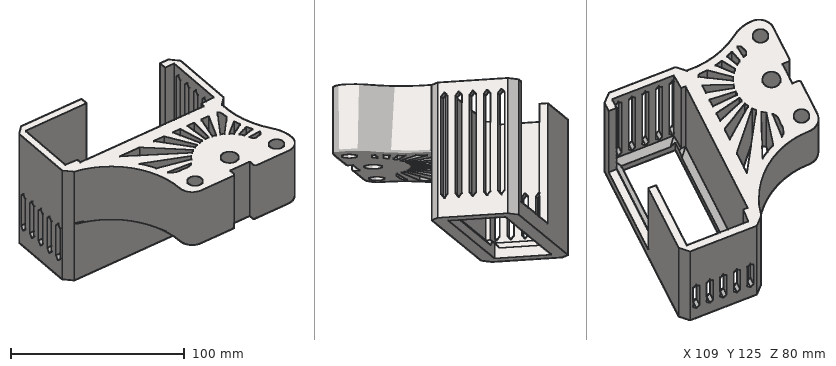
import cadquery as cq
import math

BOX_X = 52.0
BOX_Y = 115.0
BOX_Z = 80.0
CORNER_CHAMFER = 5.0
WALL_X = 5.0
WALL_Y = 4.6

FLOOR_Z = 10.0
FLOOR_BEVEL = 4.0
FLOOR_BEVEL_ANGLE = 45
CAVITY_END_X = 43.8
CAVITY_STEP_X = 44.2
RECESS_X = 47.0
RECESS_Y = 88.0
RECESS_CENTER_Y = 57.0

WINDOW_Y0 = 48.1
WINDOW_Y1 = 104.0
SILL_Z = 8.9

SLOT_COUNT = 5
SLOT_PITCH = 8.5
SLOT_WIDTH = 4.0
SLOT_TIP = 2.5
SLOT_FIRST_X = 9.0
SLOT_Z0 = 11.4
FRONT_SLOT_HEIGHT = 27.0
BACK_SLOT_HEIGHT = 62.5

BRACKET_HEIGHT = 40.0
BRACKET_Z = BOX_Z - BRACKET_HEIGHT
BRACKET_END_X = 109.0
BRACKET_MIN_Y = 45.0
BRACKET_MAX_Y = 125.0
BRACKET_MID_Y = (BRACKET_MIN_Y + BRACKET_MAX_Y) / 2
BRACKET_CORNER_R = 9.0
BOTTOM_FILLET = 2.0
ROOT_MIN_Y = CORNER_CHAMFER
DIP_X = 55.0
DIP_Y = 110.2
LOBE_R = 22.5
CORNER_X = BRACKET_END_X - BRACKET_CORNER_R

NOTCH_DEPTH = 5.0
NOTCH_WIDTH = 14.0
NOTCH_MOUTH_R = 1.5
CENTER_HOLE_D = 10.5
CENTER_HOLE_X = 94.0
SIDE_HOLE_D = 9.0
SIDE_HOLE_X = 100.0
SIDE_HOLE_SPACING = 58.0

FAN_X = 87.0
FAN_PITCH = 18.0
FAN_WEDGE_ANGLE = 9.0
FAN_SIDE_WEDGES = 5
FAN_REACH = 75.0
FAN_START_X = BOX_X + 4.0
FAN_EDGE_MARGIN = 5.0
HUB_R = 22.0
SIDE_BOSS_R = 13.0
FAN_HIGH_CORNER_R = 2.5
FAN_LOW_CORNER_R = 7.5


def vertical_prism(outline, z_bottom, z_top):
    """Extrude a closed XY outline between two heights."""
    return outline.extrude(z_top - z_bottom).translate((0, 0, z_bottom))


def block(x0, x1, y0, y1, z0, z1):
    return cq.Workplane("XY").box(x1 - x0, y1 - y0, z1 - z0, centered=False).translate((x0, y0, z0))


def disc(x, y, radius):
    """Cylinder through the height of the bracket."""
    return vertical_prism(cq.Workplane("XY").center(x, y).circle(radius), BRACKET_Z, BOX_Z)


low_run = CORNER_X - BOX_X
low_rise = BRACKET_MIN_Y - ROOT_MIN_Y
LOW_R = (low_run**2 + low_rise**2) / (2 * low_rise)
LOW_CENTER_Y = BRACKET_MIN_Y - LOW_R
high_run = CORNER_X - DIP_X
high_rise = BRACKET_MAX_Y - DIP_Y
HIGH_R = (high_run**2 + high_rise**2) / (2 * high_rise) - LOBE_R
HIGH_CENTER_Y = DIP_Y + HIGH_R
HIGH_ANGLE = math.asin(high_run / (HIGH_R + LOBE_R))


def arc_point(center_x, center_y, radius, angle):
    """Point on a circle, angle in radians from +X."""
    return (center_x + radius * math.cos(angle), center_y + radius * math.sin(angle))


def bracket_outline(start_x, margin):
    """Bracket outline from start_x, moved inward by margin along its curved sides."""
    low_r = LOW_R + margin
    high_r = HIGH_R + margin
    lobe_r = LOBE_R - margin
    corner_r = BRACKET_CORNER_R - margin
    end_x = BRACKET_END_X - margin
    min_y = BRACKET_MIN_Y + margin
    max_y = BRACKET_MAX_Y - margin
    low_start = math.acos((start_x - CORNER_X) / low_r)
    high_start = math.asin((start_x - DIP_X) / high_r)
    down = -math.pi / 2
    up = math.pi / 2
    low_corner_y = BRACKET_MIN_Y + BRACKET_CORNER_R
    high_corner_y = BRACKET_MAX_Y - BRACKET_CORNER_R
    return (
        cq.Workplane("XY")
        .moveTo(*arc_point(CORNER_X, LOW_CENTER_Y, low_r, low_start))
        .threePointArc(arc_point(CORNER_X, LOW_CENTER_Y, low_r, (low_start + up) / 2), (CORNER_X, min_y))
        .threePointArc(arc_point(CORNER_X, low_corner_y, corner_r, down / 2), (end_x, low_corner_y))
        .lineTo(end_x, high_corner_y)
        .threePointArc(arc_point(CORNER_X, high_corner_y, corner_r, up / 2), (CORNER_X, max_y))
        .threePointArc(
            arc_point(CORNER_X, BRACKET_MAX_Y - LOBE_R, lobe_r, up + HIGH_ANGLE / 2),
            arc_point(CORNER_X, BRACKET_MAX_Y - LOBE_R, lobe_r, up + HIGH_ANGLE),
        )
        .threePointArc(
            arc_point(DIP_X, HIGH_CENTER_Y, high_r, down + (HIGH_ANGLE + high_start) / 2),
            arc_point(DIP_X, HIGH_CENTER_Y, high_r, down + high_start),
        )
        .close()
    )


def make_box():
    return block(0, BOX_X, 0, BOX_Y, 0, BOX_Z).edges("|Z").chamfer(CORNER_CHAMFER)


def make_cavity():
    recess_y0 = RECESS_CENTER_Y - RECESS_Y / 2
    recess_y1 = RECESS_CENTER_Y + RECESS_Y / 2
    end_y = BOX_Y - WALL_Y
    points = [
        (WALL_X, WALL_Y),
        (CAVITY_END_X, WALL_Y),
        (CAVITY_STEP_X, recess_y0),
        (RECESS_X, recess_y0),
        (RECESS_X, recess_y1),
        (CAVITY_STEP_X, recess_y1),
        (CAVITY_END_X, end_y),
        (WALL_X, end_y),
    ]
    room = cq.Workplane("XY", origin=(0, 0, FLOOR_Z)).polyline(points).close().extrude(BOX_Z - FLOOR_Z)
    bevel = cq.Workplane("XY", origin=(0, 0, FLOOR_Z)).polyline(points).close()
    bevel = bevel.extrude(-FLOOR_BEVEL, taper=FLOOR_BEVEL_ANGLE)
    opening = block(
        WALL_X + FLOOR_BEVEL,
        RECESS_X - FLOOR_BEVEL,
        WALL_Y + FLOOR_BEVEL,
        end_y - FLOOR_BEVEL,
        0,
        FLOOR_Z,
    )
    return room.union(bevel).union(opening)


def make_window():
    return block(0, WALL_X, WINDOW_Y0, WINDOW_Y1, SILL_Z, BOX_Z)


def make_slots(wall_y, height):
    """Row of slots through an end wall that starts at wall_y."""
    half = SLOT_WIDTH / 2
    slots = cq.Workplane("XY")
    for i in range(SLOT_COUNT):
        x = SLOT_FIRST_X + i * SLOT_PITCH
        top = SLOT_Z0 + height
        points = [
            (x, SLOT_Z0),
            (x + half, SLOT_Z0 + SLOT_TIP),
            (x + half, top - SLOT_TIP),
            (x, top),
            (x - half, top - SLOT_TIP),
            (x - half, SLOT_Z0 + SLOT_TIP),
        ]
        slot = cq.Workplane("XZ", origin=(0, wall_y, 0)).polyline(points).close().extrude(-WALL_Y)
        slots = slots.union(slot)
    return slots


def make_bracket():
    """Bracket body, its bottom edges rounded except the straight one lying on the box wall."""
    body = vertical_prism(bracket_outline(BOX_X, 0), BRACKET_Z, BOX_Z)
    clearance = 0.1
    free_edges = cq.selectors.BoxSelector(
        (BOX_X + clearance, 0, BRACKET_Z - clearance),
        (BRACKET_END_X + clearance, BRACKET_MAX_Y + clearance, BRACKET_Z + clearance),
    )
    return body.edges(free_edges).fillet(BOTTOM_FILLET)


def make_notch():
    """Notch cutter whose mouth flares outward with rounded lips."""
    x0 = BRACKET_END_X - NOTCH_DEPTH
    x1 = BRACKET_END_X - NOTCH_MOUTH_R
    half = NOTCH_WIDTH / 2
    low = BRACKET_MID_Y - half
    high = BRACKET_MID_Y + half
    outline = (
        cq.Workplane("XY")
        .moveTo(x0, low)
        .lineTo(x1, low)
        .tangentArcPoint((BRACKET_END_X, low - NOTCH_MOUTH_R), relative=False)
        .lineTo(BRACKET_END_X, high + NOTCH_MOUTH_R)
        .radiusArc((x1, high), NOTCH_MOUTH_R)
        .lineTo(x0, high)
        .close()
    )
    return vertical_prism(outline, BRACKET_Z, BOX_Z)


def side_hole_places():
    return [(SIDE_HOLE_X, BRACKET_MID_Y + side * SIDE_HOLE_SPACING / 2) for side in (-1, 1)]


def make_holes():
    holes = disc(CENTER_HOLE_X, BRACKET_MID_Y, CENTER_HOLE_D / 2)
    for x, y in side_hole_places():
        holes = holes.union(disc(x, y, SIDE_HOLE_D / 2))
    return holes


def fan_wedge(direction):
    """Wedge with its tip at the fan centre, its middle line at direction degrees from +X."""
    tip = (FAN_X, BRACKET_MID_Y)
    sides = [math.radians(direction + sign * FAN_WEDGE_ANGLE / 2) for sign in (-1, 1)]
    corners = [arc_point(*tip, FAN_REACH, side) for side in sides]
    return vertical_prism(cq.Workplane("XY").polyline([tip, *corners]).close(), BRACKET_Z, BOX_Z)


def make_fan():
    """Wedges radiating toward the box, kept clear of the hub, the side holes and the outer edge."""
    field = vertical_prism(bracket_outline(FAN_START_X, FAN_EDGE_MARGIN), BRACKET_Z, BOX_Z)
    field = field.cut(disc(CENTER_HOLE_X, BRACKET_MID_Y, HUB_R))
    for x, y in side_hole_places():
        field = field.cut(disc(x, y, SIDE_BOSS_R))
    lower_end = cq.selectors.BoxSelector(
        (FAN_X, BRACKET_MIN_Y, BRACKET_Z), (BRACKET_END_X, BRACKET_MID_Y, BOX_Z)
    )
    field = field.solids("<X").edges("|Z").edges(lower_end).fillet(FAN_LOW_CORNER_R)
    upper_end = cq.selectors.BoxSelector(
        (BOX_X, BRACKET_MID_Y, BRACKET_Z), (BRACKET_END_X, BRACKET_MAX_Y, BOX_Z)
    )
    field = field.edges("|Z").edges(upper_end).fillet(FAN_HIGH_CORNER_R)
    wedges = cq.Workplane("XY")
    for i in range(-FAN_SIDE_WEDGES, FAN_SIDE_WEDGES + 1):
        wedges = wedges.union(fan_wedge(180 + i * FAN_PITCH))
    return field.intersect(wedges)


result = make_box().union(make_bracket())
for cutter in (
    make_cavity(),
    make_window(),
    make_slots(0, FRONT_SLOT_HEIGHT),
    make_slots(BOX_Y - WALL_Y, BACK_SLOT_HEIGHT),
    make_notch(),
    make_holes(),
    make_fan(),
):
    result = result.cut(cutter)